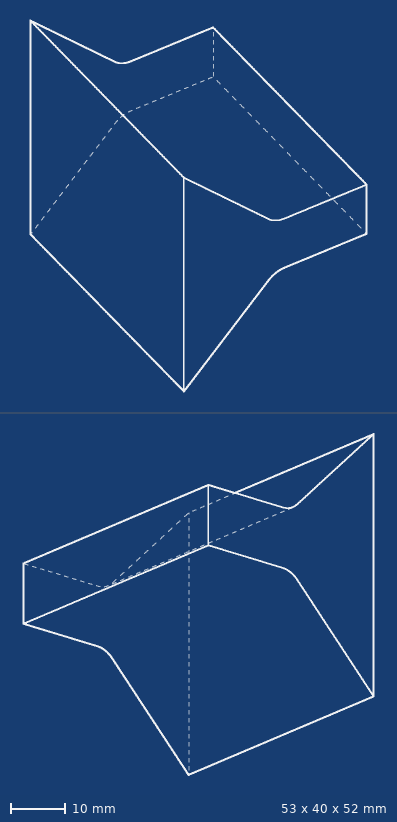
import cadquery as cq

width = 53.0
depth = 40.0
face_height = 52.0
stem_thickness = 12.0
fillet_radius = 5.0

half_face = face_height / 2
half_stem = stem_thickness / 2
flare_depth = half_face - half_stem
front_y = -depth / 2
back_y = depth / 2
neck_y = front_y + flare_depth

profile = [
    (front_y, -half_face),
    (neck_y, -half_stem),
    (back_y, -half_stem),
    (back_y, half_stem),
    (neck_y, half_stem),
    (front_y, half_face),
]
body = cq.Workplane("YZ").polyline(profile).close().extrude(width / 2, both=True)

neck_corners = cq.selectors.BoxSelector(
    (-width, neck_y - 0.55, -half_face),
    (width, neck_y + 0.55, half_face),
)
result = body.edges("|X").edges(neck_corners).fillet(fillet_radius)